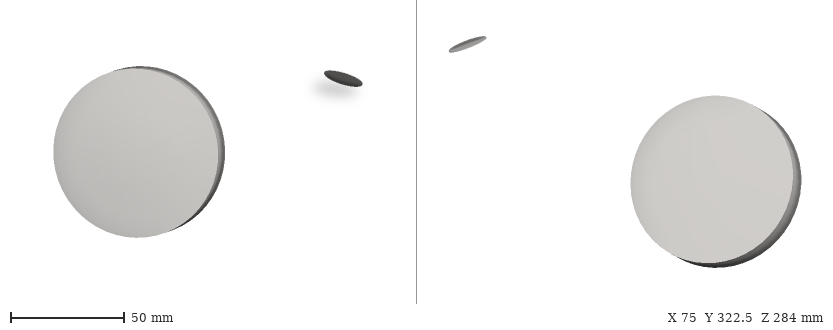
import cadquery as cq
import math

axis_elevation = 40.0
rim_distance = 384.5

lens_diameter = 75.0
lens_radius = lens_diameter / 2
outer_rim_thickness = 4.5
inner_rim_thickness = 8.5
outer_bulge = 2.5
inner_bulge = 1.0

disc_diameter = 17.7
disc_thickness = 0.3
disc_slope = 65.0

joint_distance = rim_distance - outer_rim_thickness
inner_rim_distance = joint_distance - inner_rim_thickness

elevation = math.radians(axis_elevation)
slope = math.radians(disc_slope)

optical_plane = cq.Plane(
    origin=(0, 0, 0),
    xDir=(1, 0, 0),
    normal=(0, -math.cos(elevation), math.sin(elevation)),
)

disc_plane = cq.Plane(
    origin=(0, 0, 0),
    xDir=(1, 0, 0),
    normal=(0, math.sin(slope), math.cos(slope)),
)


def make_lens(flat_distance, rim_end, bulge):
    """Revolve a lens with one flat face and one convex face."""
    outward = math.copysign(1, rim_end - flat_distance)
    apex = rim_end + outward * bulge
    sphere_radius = (lens_radius**2 + bulge**2) / (2 * bulge)
    middle_radius = lens_radius / 2
    middle_drop = sphere_radius - math.sqrt(sphere_radius**2 - middle_radius**2)
    middle_distance = apex - outward * middle_drop
    lens = (
        cq.Workplane("XZ")
        .moveTo(0, flat_distance)
        .lineTo(lens_radius, flat_distance)
        .lineTo(lens_radius, rim_end)
        .threePointArc((middle_radius, middle_distance), (0, apex))
        .close()
        .revolve(360, (0, 0, 0), (0, 1, 0))
    )
    return lens.val().moved(cq.Location(optical_plane))


def make_disc():
    """Thin round disc, its thickness centred on the origin."""
    return cq.Workplane(disc_plane).circle(disc_diameter / 2).extrude(disc_thickness / 2, both=True).val()


outer_lens = make_lens(joint_distance, rim_distance, outer_bulge)
inner_lens = make_lens(joint_distance, inner_rim_distance, inner_bulge)
disc = make_disc()

result = cq.Compound.makeCompound([outer_lens, inner_lens, disc])